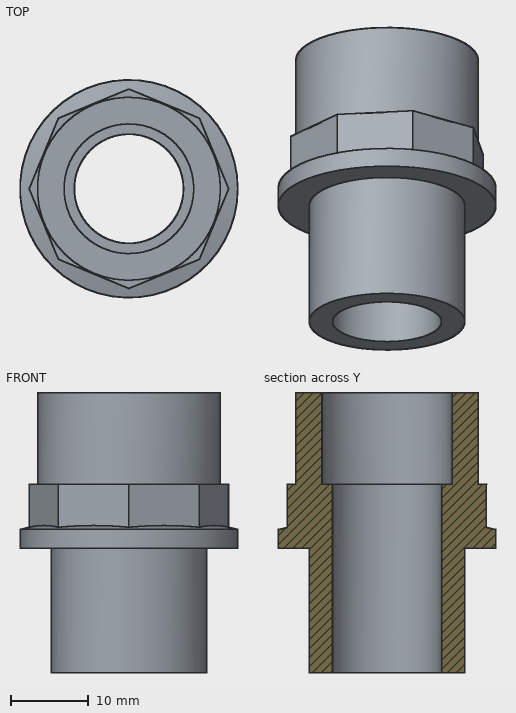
import cadquery as cq
import math

total_height = 36
flange_bottom = 16.0
flange_rim_top = 18.45
octagon_top = 24.25

spigot_diameter = 20.0
flange_diameter = 28.0
socket_outer_diameter = 23.5
socket_bore_diameter = 16.65
through_bore_diameter = 14.0

octagon_corner_diameter = 25.65
octagon_sides = 8
cone_rise = 0.5


def cylinder(diameter, bottom, top):
    return cq.Workplane("XY").workplane(offset=bottom).circle(diameter / 2).extrude(top - bottom)


def flange():
    """Disc whose top face rises as a shallow cone towards the octagon flats."""
    rim_radius = flange_diameter / 2
    flat_radius = octagon_corner_diameter / 2 * math.cos(math.pi / octagon_sides)
    cone_top = flange_rim_top + cone_rise
    profile = [
        (0, flange_bottom),
        (rim_radius, flange_bottom),
        (rim_radius, flange_rim_top),
        (flat_radius, cone_top),
        (0, cone_top),
    ]
    return cq.Workplane("XZ").polyline(profile).close().revolve(360, (0, 0, 0), (0, 1, 0))


def octagon():
    """Wrench section with corners on the X and Y axes."""
    return (
        cq.Workplane("XY")
        .workplane(offset=flange_bottom)
        .polygon(octagon_sides, octagon_corner_diameter)
        .extrude(octagon_top - flange_bottom)
    )


spigot = cylinder(spigot_diameter, 0, flange_bottom)
socket = cylinder(socket_outer_diameter, flange_bottom, total_height)
through_bore = cylinder(through_bore_diameter, 0, total_height)
socket_bore = cylinder(socket_bore_diameter, octagon_top, total_height)

body = spigot.union(flange()).union(octagon()).union(socket)
result = body.cut(through_bore).cut(socket_bore)